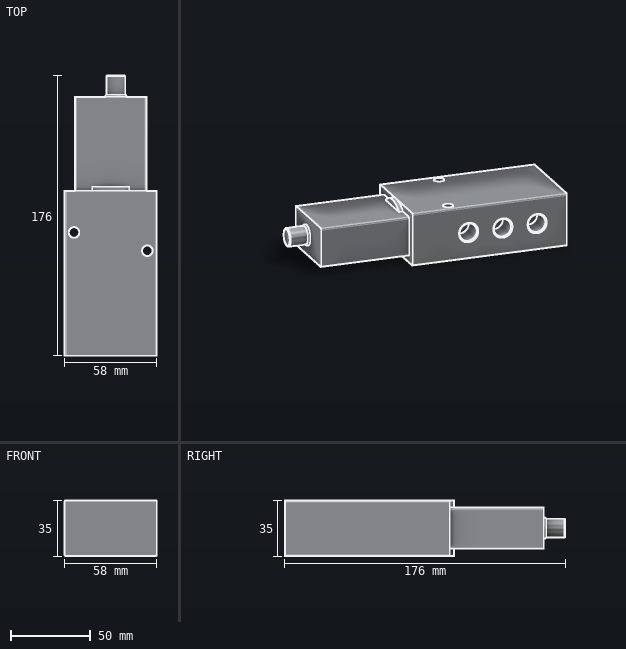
import cadquery as cq

body_width = 58.0
body_height = 35.0
overall_length = 176.0
body_edge_radius = 1.0

housing_width = 45.0
housing_height = 26.0
housing_length = 59.0
housing_edge_radius = 1.0

stem_diameter = 12.0
stem_length = 13.5
stem_offset_x = 3.2
stem_tip_chamfer = 0.6
stem_flare = 0.8
stem_flare_length = 1.4

body_length = overall_length - housing_length - stem_length
housing_rear = body_length + housing_length

collar_diameter = body_height
collar_length = 2.7

port_diameter = 11.45
port_mouth_diameter = 13.0
port_depth = 15.0
port_pitch = 23.0
port_count = 3
first_port_y = 20.0

mount_diameter = 6.5
mount_offset_x = 23.0
right_mount_y = first_port_y + (port_count - 1) * port_pitch
mount_stagger = 11.5


def long_block(width, height, length, start_y, edge_radius):
    """Block centred on X and Z whose four edges along Y are rounded."""
    block = cq.Workplane("XY").box(width, length, height, centered=(True, False, True))
    return block.edges("|Y").fillet(edge_radius).translate((0, start_y, 0))


def collar():
    """Round disc standing out behind the rear face of the body."""
    start = cq.Vector(0, body_length, 0)
    rearward = cq.Vector(0, 1, 0)
    return cq.Workplane(cq.Solid.makeCylinder(collar_diameter / 2, collar_length, start, rearward))


def connector_stem():
    """Stem with a chamfered tip and a concave root flare that runs tangent into its side."""
    radius = stem_diameter / 2
    flare_radius = (stem_flare_length**2 + stem_flare**2) / (2 * stem_flare)
    profile = (
        cq.Workplane("XY")
        .lineTo(radius + stem_flare, 0)
        .radiusArc((radius, stem_flare_length), -flare_radius)
        .lineTo(radius, stem_length - stem_tip_chamfer)
        .lineTo(radius - stem_tip_chamfer, stem_length)
        .lineTo(0, stem_length)
        .close()
    )
    return profile.revolve(360, (0, 0, 0), (0, 1, 0)).translate((stem_offset_x, housing_rear, 0))


def port(y):
    """Blind port entering from the -X side, with a 45 degree mouth."""
    radius = port_diameter / 2
    mouth_radius = port_mouth_diameter / 2
    mouth_depth = mouth_radius - radius
    side = cq.Vector(-body_width / 2, y, 0)
    inward = cq.Vector(1, 0, 0)
    bore = cq.Solid.makeCylinder(radius, port_depth, side, inward)
    mouth = cq.Solid.makeCone(mouth_radius, radius, mouth_depth, side, inward)
    return cq.Workplane(bore).union(cq.Workplane(mouth))


def mounting_holes():
    """Through holes along Z, one near each long side of the body."""
    centres = [
        (-mount_offset_x, right_mount_y + mount_stagger),
        (mount_offset_x, right_mount_y),
    ]
    plane = cq.Workplane("XY").pushPoints(centres)
    return plane.circle(mount_diameter / 2).extrude(body_height / 2, both=True)


body = long_block(body_width, body_height, body_length, 0, body_edge_radius)
for index in range(port_count):
    body = body.cut(port(first_port_y + index * port_pitch))
body = body.cut(mounting_holes())

housing = long_block(housing_width, housing_height, housing_length, body_length, housing_edge_radius)

result = body.union(housing).union(collar()).union(connector_stem())